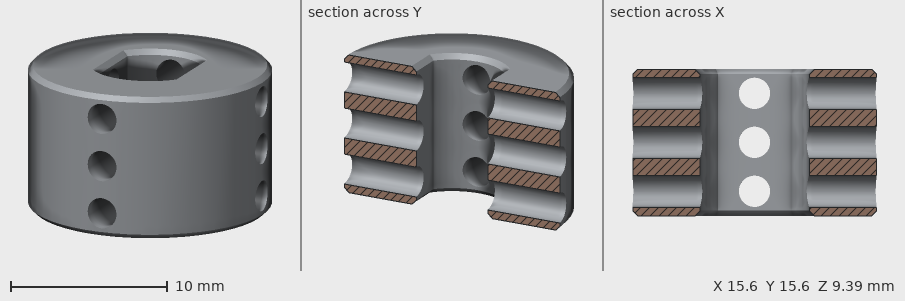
import cadquery as cq

outer_diameter = 15.62
height = 9.39
edge_chamfer = 0.31

bore_diameter = 6.97
bore_width = 5.15
bore_chamfer = 0.33

cross_hole_diameter = 2.0
cross_hole_levels = 3
level_pitch = height / cross_hole_levels


def collar_body():
    """Solid cylinder centred on the origin with both rims chamfered."""
    cylinder = cq.Workplane("XY").cylinder(height, outer_diameter / 2)
    return cylinder.edges("%CIRCLE").chamfer(edge_chamfer)


def double_flat_prism(diameter, width, length):
    """Round bar along Z, cut by two flats that face along X."""
    bar = cq.Workplane("XY").cylinder(length, diameter / 2)
    return bar.intersect(cq.Workplane("XY").box(width, diameter, length))


def cross_holes():
    """Cutters along X and Y at every level, each passing through the whole collar."""
    cutters = cq.Workplane("XY")
    for level in range(cross_hole_levels):
        z = (level - (cross_hole_levels - 1) / 2) * level_pitch
        for plane in ("XZ", "YZ"):
            hole = cq.Workplane(plane).center(0, z).circle(cross_hole_diameter / 2)
            cutters = cutters.add(hole.extrude(outer_diameter, both=True))
    return cutters.combine()


bored_collar = collar_body().cut(double_flat_prism(bore_diameter, bore_width, height))
mouth_reach = (bore_diameter + outer_diameter) / 4
mouth_box = cq.selectors.BoxSelector(
    (-mouth_reach, -mouth_reach, -height),
    (mouth_reach, mouth_reach, height),
    boundingbox=True,
)
bored_collar = bored_collar.faces("<Z or >Z").edges(mouth_box).chamfer(bore_chamfer)

result = bored_collar.cut(cross_holes())